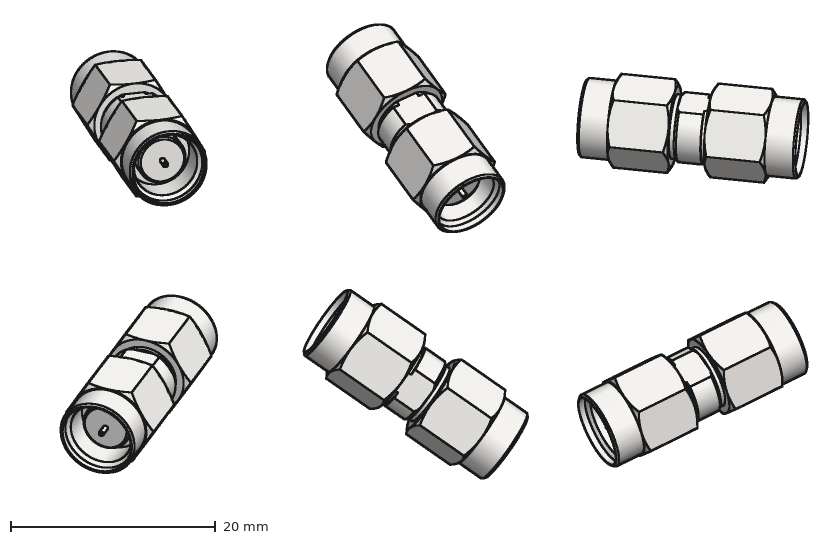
import cadquery as cq
import math

overall_length = 21.6
half_length = overall_length / 2

nut_across_flats = 8.0
nut_length = 6.0
sleeve_length = 3.0
nut_chamfer_angle = math.radians(30)
nut_chamfer_end_radius = nut_across_flats / 2
hexagon_half_angle = math.radians(30)
nut_corner_radius = nut_across_flats / 2 / math.cos(hexagon_half_angle)
nut_chamfer_depth = nut_corner_radius - nut_chamfer_end_radius
nut_chamfer_length = nut_chamfer_depth * math.tan(nut_chamfer_angle)
nut_outer_x = half_length - sleeve_length
nut_inner_x = nut_outer_x - nut_length

sleeve_radius = 3.9
sleeve_chamfer = 0.2

mouth_radius = 3.6
mouth_depth = 0.7
bore_radius = 3.2
bore_start_depth = 1.1
bore_floor_depth = 4.0

boss_radius = 2.4
boss_chamfer = 0.2
boss_face_depth = 2.25

pin_radius = 0.25
pin_tip_depth = 1.0
pin_chamfer = 0.12

neck_radius = 3.175
collar_radius = 3.45
collar_start_x = -1.35
collar_end_x = 1.33
collar_chamfer = collar_radius - neck_radius
wrench_flat_spacing = 5.95


def cylinder(start_x, end_x, radius):
    return cq.Workplane("YZ", origin=(start_x, 0, 0)).circle(radius).extrude(end_x - start_x)


def revolve_profile(points):
    """Revolve a closed outline of (x, radius) points about the X axis."""
    return cq.Workplane("XY").polyline(points).close().revolve(360, (0, 0, 0), (1, 0, 0))


def make_hexagon():
    """Hexagon with flats facing up and down and both ends chamfered by cones."""
    corner_diameter = 2 * nut_corner_radius
    prism = cq.Workplane("YZ", origin=(nut_inner_x, 0, 0)).polygon(6, corner_diameter).extrude(nut_length)
    chamfer_envelope = revolve_profile([
        (nut_inner_x, 0),
        (nut_inner_x, nut_chamfer_end_radius),
        (nut_inner_x + nut_chamfer_length, nut_corner_radius),
        (nut_outer_x - nut_chamfer_length, nut_corner_radius),
        (nut_outer_x, nut_chamfer_end_radius),
        (nut_outer_x, 0),
    ])
    return prism.intersect(chamfer_envelope)


def make_socket():
    """Void of the socket: wide mouth, cone, then a straight bore."""
    return revolve_profile([
        (half_length, 0),
        (half_length, mouth_radius),
        (half_length - mouth_depth, mouth_radius),
        (half_length - bore_start_depth, bore_radius),
        (half_length - bore_floor_depth, bore_radius),
        (half_length - bore_floor_depth, 0),
    ])


def make_contact():
    """Boss and pin, both chamfered at the tip."""
    floor_x = half_length - bore_floor_depth
    boss_face_x = half_length - boss_face_depth
    boss = cylinder(floor_x, boss_face_x, boss_radius).faces(">X").chamfer(boss_chamfer)
    pin = cylinder(boss_face_x, half_length - pin_tip_depth, pin_radius).faces(">X").chamfer(pin_chamfer)
    return boss.union(pin)


def make_connector_end():
    """Coupling nut and contact of the +X end."""
    sleeve = cylinder(nut_outer_x, half_length, sleeve_radius).faces(">X").chamfer(sleeve_chamfer)
    return make_hexagon().union(sleeve).cut(make_socket()).union(make_contact())


def make_middle():
    """Neck and collar, with wrench flats cut from the -X nut to the end of the collar."""
    collar = cylinder(collar_start_x, collar_end_x, collar_radius).faces(">X").chamfer(collar_chamfer)
    body = cylinder(-nut_inner_x, nut_inner_x, neck_radius).union(collar)
    flat_length = collar_end_x + nut_inner_x
    cut_height = collar_radius - wrench_flat_spacing / 2
    for side in (1, -1):
        cut_center = ((collar_end_x - nut_inner_x) / 2, 0, side * (wrench_flat_spacing + cut_height) / 2)
        flat_cut = cq.Workplane("XY").box(flat_length, 2 * collar_radius, cut_height).translate(cut_center)
        body = body.cut(flat_cut)
    return body


positive_end = make_connector_end()
negative_end = positive_end.mirror("YZ")
result = make_middle().union(positive_end).union(negative_end)